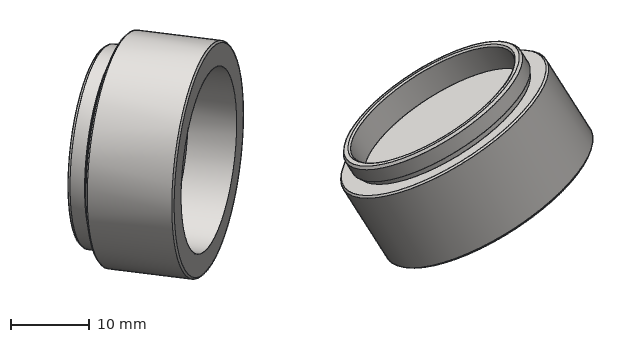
import cadquery as cq


length = 14.72
body_radius = 15.25
body_chamfer = 0.25

collar_radius = 13.15
collar_width = 2.3
collar_chamfer_length = 0.37
collar_chamfer_depth = 0.27

shoulder_x = 3.05
groove_radius = 12.7

bore_radius = 12.0
bore_chamfer = 0.25

lens_front_x = 3.72
lens_thickness = 4.57


def x_cylinder(radius, start_x, end_x):
    """Solid cylinder about the X axis between two X positions."""
    return cq.Workplane("YZ", origin=(start_x, 0, 0)).circle(radius).extrude(end_x - start_x)


def make_housing():
    """Collar, relief groove and main body, bored right through."""
    collar = (
        x_cylinder(collar_radius, 0, collar_width)
        .faces("<X")
        .chamfer(collar_chamfer_length, collar_chamfer_depth)
    )
    groove = x_cylinder(groove_radius, collar_width, shoulder_x)
    body = x_cylinder(body_radius, shoulder_x, length).edges("%CIRCLE").chamfer(body_chamfer)

    tube = collar.union(groove).union(body)
    tube = tube.cut(x_cylinder(bore_radius, 0, length))
    bore_rim = cq.selectors.RadiusNthSelector(0)
    return tube.faces("<X").edges(bore_rim).chamfer(bore_chamfer)


def make_lens():
    """Flat disc that fills the bore behind the open front end."""
    return x_cylinder(bore_radius, lens_front_x, lens_front_x + lens_thickness)


housing = make_housing()
lens = make_lens()

result = cq.Compound.makeCompound([housing.solids().val(), lens.val()])